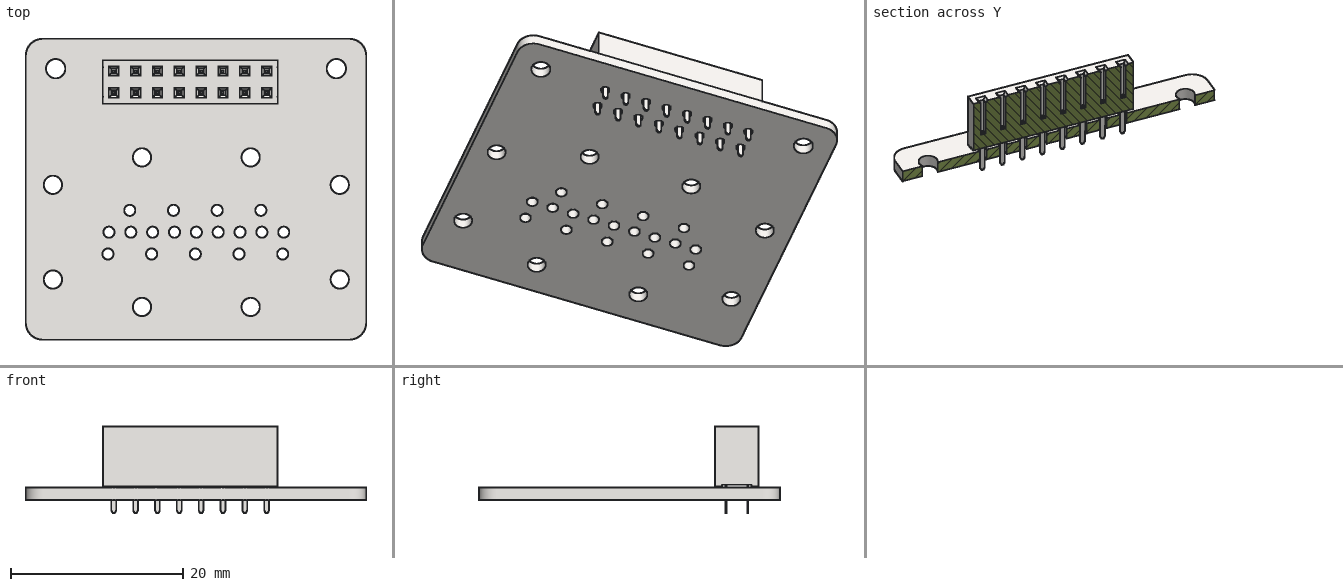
import cadquery as cq

board_length = 39.6
board_width = 35.0
board_thickness = 1.5
corner_radius = 1.98

top_hole_diameter = 2.2
top_hole_half_span = 16.3
top_hole_y = 14.0
mount_hole_diameter = 2.1
mount_centre_x = 0.05
mount_centre_y = -5.0
outer_span_x, outer_span_y = 33.35, 11.0
inner_span_x, inner_span_y = 12.65, 17.4

contact_columns = 8
contact_rows = 2
header_length = 20.3
pitch = header_length / contact_columns

small_hole_diameter = 1.25
small_row_y = mount_centre_y
middle_row_count, middle_row_x = 9, 0.05
upper_row_count, upper_row_x = 4, -0.08
lower_row_count, lower_row_x = 5, -0.08

header_x = -0.67
header_y = 12.47
header_width = contact_rows * pitch
header_top = 7.1
foot_gap = 0.1
groove_width = 3.4
groove_top = 0.28
socket_opening = 1.15
socket_bore = 0.6
socket_funnel_depth = 0.28
socket_depth = 4.75
contact_hole_width = 0.25
contact_hole_depth = 5.55

pin_hole_diameter = 1.0
pin_width = 0.6
pin_tip_width = 0.25
pin_thickness = 0.15
overall_height = 10.1
pin_bottom = header_top - overall_height
pin_taper_height = 0.3


def grid(x, y, columns, rows, x_step, y_step):
    """Points of a rectangular grid centred on (x, y)."""
    return [
        (x + (i - (columns - 1) / 2) * x_step, y + (j - (rows - 1) / 2) * y_step)
        for i in range(columns)
        for j in range(rows)
    ]


contact_points = grid(header_x, header_y, contact_columns, contact_rows, pitch, pitch)


def make_board():
    """Rounded plate with its top face at z = 0 and all holes drilled through."""
    plate = (
        cq.Workplane("XY")
        .box(board_length, board_width, board_thickness, centered=(True, True, False))
        .translate((0, 0, -board_thickness))
        .edges("|Z")
        .fillet(corner_radius)
    )
    small_points = (
        grid(middle_row_x, small_row_y, middle_row_count, 1, pitch, pitch)
        + grid(upper_row_x, small_row_y + pitch, upper_row_count, 1, 2 * pitch, pitch)
        + grid(lower_row_x, small_row_y - pitch, lower_row_count, 1, 2 * pitch, pitch)
    )
    mount_points = (
        grid(mount_centre_x, mount_centre_y, 2, 2, outer_span_x, outer_span_y)
        + grid(mount_centre_x, mount_centre_y, 2, 2, inner_span_x, inner_span_y)
    )
    top_points = [(-top_hole_half_span, top_hole_y), (top_hole_half_span, top_hole_y)]
    hole_sets = [
        (top_points, top_hole_diameter),
        (mount_points, mount_hole_diameter),
        (small_points, small_hole_diameter),
        (contact_points, pin_hole_diameter),
    ]
    for points, diameter in hole_sets:
        drills = cq.Workplane("XY").pushPoints(points).circle(diameter / 2).extrude(-board_thickness)
        plate = plate.cut(drills)
    return plate


def square_bore(width, depth):
    """Square blind cutter reaching down from the header's top face."""
    return cq.Workplane("XY", origin=(0, 0, header_top)).rect(width, width).extrude(-depth)


def make_socket():
    """Cutter for one socket: a square funnel, a square bore and a narrow contact hole in its floor."""
    funnel = (
        cq.Workplane("XY", origin=(0, 0, header_top))
        .rect(socket_opening, socket_opening)
        .workplane(offset=-socket_funnel_depth)
        .rect(socket_bore, socket_bore)
        .loft()
    )
    bore = square_bore(socket_bore, socket_depth)
    contact_hole = square_bore(contact_hole_width, contact_hole_depth)
    return funnel.union(bore).union(contact_hole)


def make_pin():
    """Flat pin with a tapered tip, reaching from the header's groove down through the board."""
    half_width = pin_width / 2
    half_tip = pin_tip_width / 2
    taper_top = pin_bottom + pin_taper_height
    return (
        cq.Workplane("XZ")
        .polyline([
            (-half_width, groove_top),
            (-half_width, taper_top),
            (-half_tip, pin_bottom),
            (half_tip, pin_bottom),
            (half_width, taper_top),
            (half_width, groove_top),
        ])
        .close()
        .extrude(pin_thickness / 2, both=True)
    )


def make_header():
    """Socket block, grooved underneath along X, with its pins."""
    block = (
        cq.Workplane("XY", origin=(header_x, header_y, foot_gap))
        .rect(header_length, header_width)
        .extrude(header_top - foot_gap)
    )
    groove = (
        cq.Workplane("XY", origin=(header_x, header_y, 0))
        .rect(header_length, groove_width)
        .extrude(groove_top)
    )
    header = block.cut(groove)
    socket = make_socket()
    pin = make_pin()
    for x, y in contact_points:
        header = header.cut(socket.translate((x, y, 0)))
        header = header.union(pin.translate((x, y, 0)))
    return header


board = make_board()
header = make_header()
result = cq.Compound.makeCompound([board.val(), header.val()])